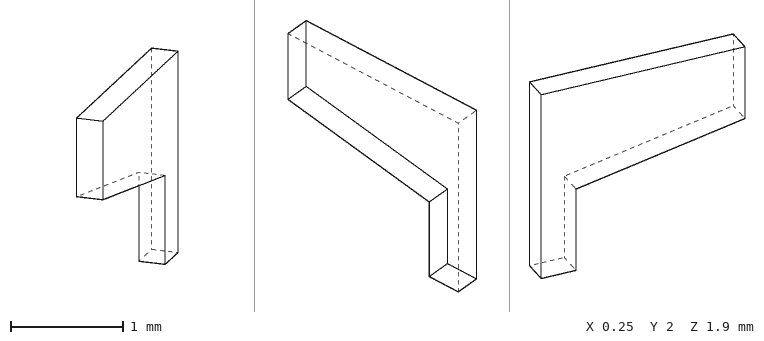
import cadquery as cq

thickness = 0.25
length = 2.0
height = 1.9

leg_width = 0.342
tip_depth = 0.742
root_depth = 1.06

tip_y = -length / 2
back_y = length / 2
leg_y = back_y - leg_width

profile = [
    (back_y, 0),
    (back_y, height),
    (tip_y, height),
    (tip_y, height - tip_depth),
    (leg_y, height - root_depth),
    (leg_y, 0),
]

result = (
    cq.Workplane("YZ")
    .polyline(profile)
    .close()
    .extrude(thickness / 2, both=True)
)